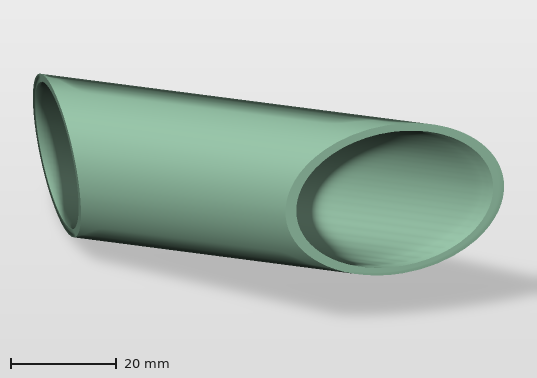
import cadquery as cq
import math

overall_length = 106.2
overall_height = 39.3
outer_diameter = 30.0
wall = 1.5

run = overall_length - outer_diameter
rise = overall_height - outer_diameter
axis_length = math.hypot(run, rise)
tilt = math.degrees(math.atan2(rise, run))

outer_radius = outer_diameter / 2
inner_radius = outer_radius - wall
long_half = axis_length / 2 + outer_radius
short_half = axis_length / 2 - outer_radius

tube = (
    cq.Workplane("YZ")
    .workplane(offset=-long_half)
    .circle(outer_radius)
    .circle(inner_radius)
    .extrude(2 * long_half)
)

mitre_envelope = (
    cq.Workplane("XY")
    .polyline([
        (-long_half, outer_radius),
        (long_half, outer_radius),
        (short_half, -outer_radius),
        (-short_half, -outer_radius),
    ])
    .close()
    .extrude(outer_radius, both=True)
)

result = tube.intersect(mitre_envelope).rotate((0, 0, 0), (0, 1, 0), -tilt)